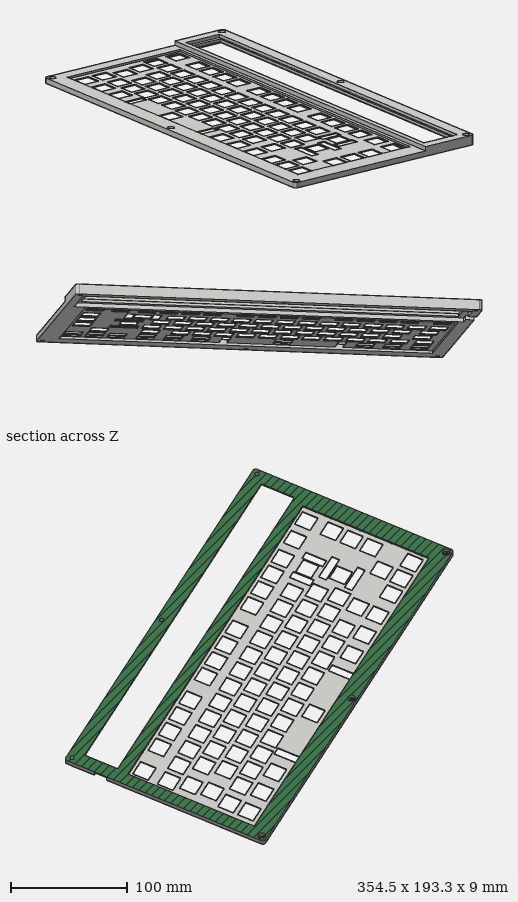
import cadquery as cq

width = 354.5
depth = 193.3
bar_height = 9.0
deck_height = 5.0
bar_front_y = 44.5
corner_radius = 3.0

window_width = 329.0
window_depth = 31.5
window_y = 67.5
ledge_margin_x = 3.5
ledge_margin_y = 2.0
ledge_drop = 3.0
ledge_thickness = 2.5
display_pocket_margin = 5.3

notch_width = 11.7
notch_height = 3.5
notch_y = 61.7

plate_left = -165.5
plate_right = 160.0
plate_back = 40.8
plate_front = -81.0
plate_height = 3.2
plate_thickness = 1.0

screw_hole_diameter = 3.4
screw_head_diameter = 6.0
screw_head_depth = 3.2
screw_inset = 5.0
middle_screw_x = -5.0

main_block_width = 286.5
main_block_keys = 15
key_pitch = main_block_width / main_block_keys
key_size = 15.0
first_key_x = -155.3
number_row_y = 6.7
function_row_y = 30.5
raised_key_lift = 0.7

raised_key_x = 148.0
nav_key_x = 148.2
function_end_x = 125.5
left_arrow_x = 111.5

backspace_column = 13.5
enter_column = 13.875
stabiliser_width = 7.0
backspace_slot_length = 20.0
backspace_slot_spacing = 23.5
backspace_slot_y = 6.0
enter_slot_length = 24.5
enter_slot_spacing = 24.8
enter_slot_x = 111.7
enter_slot_y = -22.0
space_slot_length = 21.0
space_slot_spacing = 101.0
space_slot_x = -33.7


def box(x, y, size_x, size_y, bottom, top):
    """Block centred on (x, y) between two heights."""
    return cq.Workplane("XY", origin=(x, y, bottom)).rect(size_x, size_y).extrude(top - bottom)


def column_x(column):
    return first_key_x + column * key_pitch


def row_y(row):
    """Centre of a key row, counted forward from the number row."""
    return number_row_y - row * key_pitch


def key_run(first_column, count):
    return [first_column + i for i in range(count)]


def key_centres():
    down_arrow_x = left_arrow_x + key_pitch
    right_arrow_x = down_arrow_x + key_pitch
    bottom_columns = [0.125, 1.375, 2.625, 6.375, 10.125, 11.375, 12.625]
    rows = [
        (function_row_y + raised_key_lift, [], [raised_key_x]),
        (function_row_y, [0] + key_run(1.5, 4) + key_run(6, 4) + key_run(10.5, 4), [function_end_x]),
        (row_y(0), key_run(0, 13) + [backspace_column], [nav_key_x]),
        (row_y(1), [0.25] + key_run(1.5, 12), [nav_key_x]),
        (row_y(1.5), [enter_column], []),
        (row_y(2), [0.375] + key_run(1.75, 12), [nav_key_x]),
        (row_y(3), [0.125] + key_run(1.25, 11) + [12.625], [down_arrow_x]),
        (row_y(4), bottom_columns, [left_arrow_x, down_arrow_x, right_arrow_x]),
    ]
    centres = []
    for y, columns, other_x in rows:
        centres += [(x, y) for x in [column_x(column) for column in columns] + other_x]
    return centres


def body():
    deck = box(0, 0, width, depth, 0, deck_height)
    bar_depth = depth / 2 - bar_front_y
    bar = box(0, depth / 2 - bar_depth / 2, width, bar_depth, 0, bar_height)
    outline = box(0, 0, width, depth, 0, bar_height).edges("|Z").fillet(corner_radius)
    return deck.union(bar).intersect(outline)


def display_window():
    opening = box(0, window_y, window_width, window_depth, 0, bar_height)
    ledge = box(
        0,
        window_y,
        window_width + 2 * ledge_margin_x,
        window_depth + 2 * ledge_margin_y,
        bar_height - ledge_drop,
        bar_height,
    )
    return opening.union(ledge)


def display_pocket():
    """Hollow under the ledge, open at the bottom."""
    return box(
        0,
        window_y,
        window_width + 2 * display_pocket_margin,
        window_depth + 2 * display_pocket_margin,
        0,
        bar_height - ledge_drop - ledge_thickness,
    )


def cable_notch():
    rim = (width - window_width) / 2
    return box(-width / 2 + rim / 2, notch_y, rim, notch_width, 0, notch_height)


def plate_area(bottom, top):
    """Block over the whole key plate, used for the recess above it and the hollow below."""
    return box(
        (plate_left + plate_right) / 2,
        (plate_back + plate_front) / 2,
        plate_right - plate_left,
        plate_back - plate_front,
        bottom,
        top,
    )


def plate_openings(centres, size_x, size_y):
    return cq.Workplane("XY").pushPoints(centres).rect(size_x, size_y).extrude(plate_height)


def stabiliser_slots():
    backspace_x = column_x(backspace_column)
    backspace = [(backspace_x + side * backspace_slot_spacing / 2, backspace_slot_y) for side in (-1, 1)]
    enter = [(enter_slot_x, enter_slot_y + side * enter_slot_spacing / 2) for side in (-1, 1)]
    space_y = plate_front + space_slot_length / 2
    space = [(space_slot_x + side * space_slot_spacing / 2, space_y) for side in (-1, 1)]
    return (
        plate_openings(backspace, stabiliser_width, backspace_slot_length)
        .add(plate_openings(enter, enter_slot_length, stabiliser_width))
        .add(plate_openings(space, stabiliser_width, space_slot_length))
        .combine()
    )


def drill_screw_holes(part):
    screw_y = depth / 2 - screw_inset
    corner_x = width / 2 - screw_inset
    for y, top in ((screw_y, bar_height), (-screw_y, deck_height)):
        centres = [(x, y) for x in (-corner_x, middle_screw_x, corner_x)]
        part = (
            part.copyWorkplane(cq.Workplane("XY", origin=(0, 0, top)))
            .pushPoints(centres)
            .cboreHole(screw_hole_diameter, screw_head_diameter, screw_head_depth)
        )
    return part


result = (
    body()
    .cut(display_window())
    .cut(display_pocket())
    .cut(cable_notch())
    .cut(plate_area(plate_height, deck_height))
    .cut(plate_area(0, plate_height - plate_thickness))
    .cut(plate_openings(key_centres(), key_size, key_size))
    .cut(stabiliser_slots())
)
result = drill_screw_holes(result)